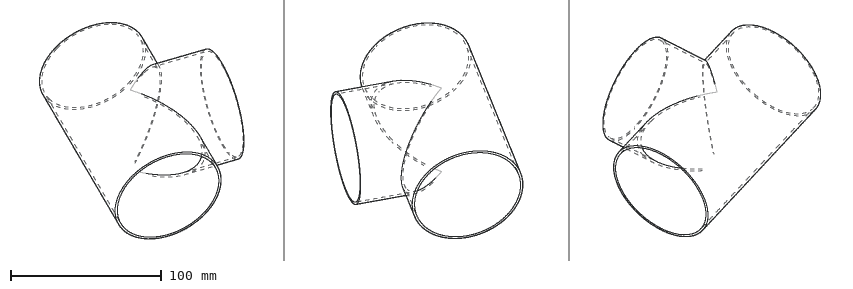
import cadquery as cq

run_length = 131.8
outer_diameter = 76.2
inner_diameter = 72.9
branch_reach = 65.9


def tee_of_cylinders(diameter):
    """Solid tee made of a run and a branch of equal diameter."""
    radius = diameter / 2
    run = cq.Workplane("YZ").circle(radius).extrude(run_length / 2, both=True)
    branch = cq.Workplane("XZ").circle(radius).extrude(-branch_reach)
    return run.union(branch)


result = tee_of_cylinders(outer_diameter).cut(tee_of_cylinders(inner_diameter))